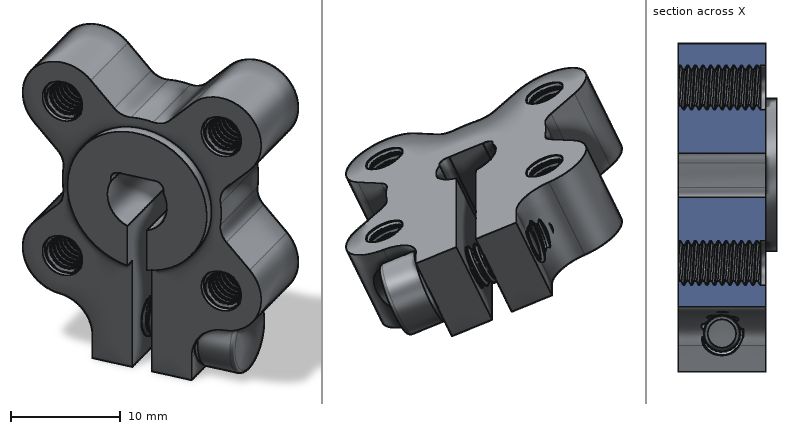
import cadquery as cq
import math

plate_thickness = 8.0
core_radius = 8.0
boss_radius = 7.0
boss_height = 1.02
lobe_offset = 8.0
lobe_radius = 4.0
waist_fillet = 2.0

leg_half_width = 5.0
leg_bottom = -17.92
leg_fillet = 3.5
slit_width = 1.95

bore_radius = 3.0
flat_height = 2.48
relief_radius = 0.8
relief_offset = 1.85

thread_radius = 2.0
thread_root_radius = 1.65
thread_pitch = 0.7
crest_half_angle = 20
root_half_angle = 50
entry_depth = 0.48

head_radius = 3.5
head_length = 3.95
head_rim_fillet = 0.35
seat_chamfer_length = 0.4
seat_chamfer_depth = 0.15
shank_length = 10.0
tip_length = 0.35
tip_radius = 1.3

front_y = -plate_thickness / 2
back_y = plate_thickness / 2
boss_face_y = front_y - boss_height
overall_thickness = plate_thickness + boss_height
lobe_reach = lobe_offset + lobe_radius
screw_z = leg_bottom + head_radius
seat_x = leg_half_width
tip_x = seat_x - shank_length
thread_start_x = tip_x + tip_length


def profile_at(y):
    """Workplane on the XZ plane at depth y; its local axes are X and Z, and it faces -Y."""
    return cq.Workplane("XZ", origin=(0, y, 0))


def section_at(x):
    """Workplane across the screw axis, facing +X; its local x axis is Z."""
    return cq.Workplane(cq.Plane(origin=(x, 0, screw_z), xDir=(0, 0, 1), normal=(1, 0, 0)))


def polar(radius, degrees):
    angle = math.radians(degrees)
    return (radius * math.cos(angle), radius * math.sin(angle))


def threaded_rod(workplane, length):
    """Right-hand threaded rod: a cam-shaped cross-section twisted once per pitch."""
    ramp_end = 180 - root_half_angle
    ramp_middle = polar((thread_radius + thread_root_radius) / 2, (crest_half_angle + ramp_end) / 2)
    cam = (
        workplane.moveTo(*polar(thread_radius, -crest_half_angle))
        .threePointArc((thread_radius, 0), polar(thread_radius, crest_half_angle))
        .threePointArc(ramp_middle, polar(thread_root_radius, ramp_end))
        .threePointArc((-thread_root_radius, 0), polar(thread_root_radius, -ramp_end))
        .threePointArc((ramp_middle[0], -ramp_middle[1]), polar(thread_radius, -crest_half_angle))
        .close()
    )
    return cam.twistExtrude(length, 360 * length / thread_pitch)


def lobe_arm():
    """Arm along +X with a round lobe at its end and fillets tangent to the round core."""
    lobe_distance = lobe_offset * math.sqrt(2)
    fillet_z = lobe_radius + waist_fillet
    fillet_distance = core_radius + waist_fillet
    fillet_x = math.sqrt(fillet_distance**2 - fillet_z**2)
    core_ratio = core_radius / fillet_distance
    core_x = fillet_x * core_ratio
    core_z = fillet_z * core_ratio
    core_angle = math.degrees(math.atan2(-fillet_z, -fillet_x))
    middle_dx, middle_dz = polar(waist_fillet, (core_angle - 90) / 2)
    middle_x = fillet_x + middle_dx
    middle_z = fillet_z + middle_dz
    return (
        profile_at(front_y)
        .moveTo(core_x, -core_z)
        .threePointArc((middle_x, -middle_z), (fillet_x, -lobe_radius))
        .lineTo(lobe_distance, -lobe_radius)
        .threePointArc((lobe_distance + lobe_radius, 0), (lobe_distance, lobe_radius))
        .lineTo(fillet_x, lobe_radius)
        .threePointArc((middle_x, middle_z), (core_x, core_z))
        .close()
        .extrude(-plate_thickness)
    )


def clamp_legs():
    """Block below the core, flared by fillets into the undersides of the lower lobes."""
    fillet_x = leg_half_width + leg_fillet
    center_distance = lobe_radius + leg_fillet
    offset_x = fillet_x - lobe_offset
    fillet_z = -lobe_offset - math.sqrt(center_distance**2 - offset_x**2)
    lobe_angle = math.degrees(math.atan2(-lobe_offset - fillet_z, -offset_x))
    tangent_dx, tangent_dz = polar(leg_fillet, lobe_angle)
    middle_dx, middle_dz = polar(leg_fillet, (lobe_angle + 180) / 2)
    tangent = (fillet_x + tangent_dx, fillet_z + tangent_dz)
    middle = (fillet_x + middle_dx, fillet_z + middle_dz)
    return (
        profile_at(front_y)
        .lineTo(lobe_offset, -lobe_offset)
        .lineTo(*tangent)
        .threePointArc(middle, (leg_half_width, fillet_z))
        .lineTo(leg_half_width, leg_bottom)
        .lineTo(-leg_half_width, leg_bottom)
        .lineTo(-leg_half_width, fillet_z)
        .threePointArc((-middle[0], middle[1]), (-tangent[0], tangent[1]))
        .lineTo(-lobe_offset, -lobe_offset)
        .close()
        .extrude(-plate_thickness)
    )


def bore_and_slit():
    """D-shaped bore with corner reliefs, opened downward by the clamp slit."""
    bore = profile_at(boss_face_y).circle(bore_radius).extrude(-overall_thickness)
    above_flat = (
        profile_at(boss_face_y)
        .rect(2 * bore_radius, 2 * bore_radius)
        .extrude(-overall_thickness)
        .translate((0, 0, flat_height + bore_radius))
    )
    reliefs = (
        profile_at(boss_face_y)
        .pushPoints([(side * relief_offset, flat_height - relief_radius) for side in (-1, 1)])
        .circle(relief_radius)
        .extrude(-overall_thickness)
    )
    slit = (
        profile_at(boss_face_y)
        .center(0, leg_bottom / 2)
        .rect(slit_width, -leg_bottom)
        .extrude(-overall_thickness)
    )
    return bore.cut(above_flat).union(reliefs).union(slit)


def lobe_hole():
    """Cutter for a threaded through-hole with a short plain entry at the front face."""
    thread = threaded_rod(profile_at(back_y), plate_thickness - entry_depth)
    entry = profile_at(front_y).circle(thread_radius).extrude(-entry_depth)
    return thread.union(entry)


def screw_passages():
    """Threaded hole in the -X leg, clearance hole in the +X leg, and the seat for the head."""
    lead_in = 4 * thread_pitch
    threaded = threaded_rod(section_at(thread_start_x - lead_in), lead_in - thread_start_x)
    clearance = section_at(0).circle(thread_radius).extrude(seat_x)
    head_pocket = section_at(seat_x).circle(head_radius).extrude(lobe_reach - seat_x)
    return threaded, clearance, head_pocket


def make_housing():
    body = profile_at(front_y).circle(core_radius).extrude(-plate_thickness)
    for arm_angle in (45, 135, 225, 315):
        body = body.union(lobe_arm().rotate((0, 0, 0), (0, 1, 0), arm_angle))
    body = body.union(clamp_legs())
    body = body.union(profile_at(front_y).circle(boss_radius).extrude(boss_height))
    body = body.cut(bore_and_slit())
    for passage in screw_passages():
        body = body.cut(passage)
    hole = lobe_hole()
    for x in (-lobe_offset, lobe_offset):
        for z in (-lobe_offset, lobe_offset):
            body = body.cut(hole.translate((x, 0, z)))
    return body


def make_screw():
    """Cylinder-head screw with a full-length thread and a conical tip."""
    head = section_at(seat_x).circle(head_radius).extrude(head_length)
    head = head.faces(">X").edges().fillet(head_rim_fillet)
    head = head.faces("<X").edges().chamfer(seat_chamfer_length, seat_chamfer_depth)
    thread = threaded_rod(section_at(thread_start_x), seat_x - thread_start_x)
    tip = (
        section_at(tip_x)
        .circle(tip_radius)
        .workplane(offset=tip_length)
        .circle(thread_root_radius)
        .loft()
    )
    return head.union(thread).union(tip)


housing = make_housing()
screw = make_screw()

result = cq.Compound.makeCompound([housing.solids().val(), screw.solids().val()])